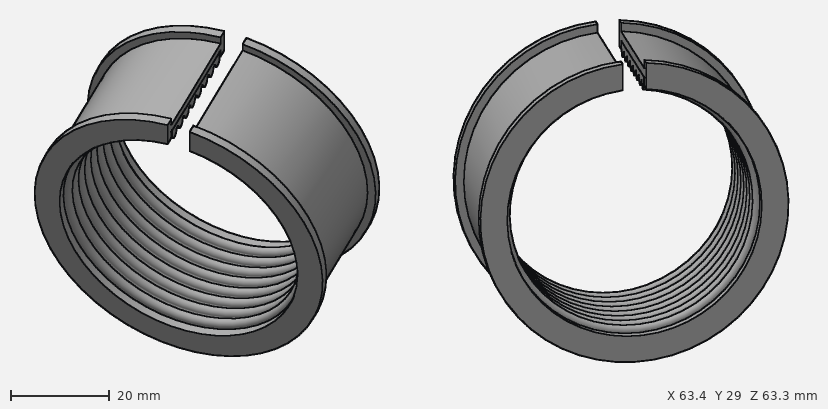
import cadquery as cq

OUTER_RADIUS = 31.7
BARREL_RADIUS = 29.95
FLANGE_BORE_RADIUS = 26.2
SLEEVE_LENGTH = 29.0
FLANGE_THICKNESS = 1.95
SLOT_WIDTH = 4.8

SEAT_RADIUS = 28.0
CREST_RADIUS = 25.0
RIB_COUNT = 8
RIB_ROUND = 1.05
GROOVE_ROUND = RIB_ROUND / 2
RIB_BASE_RADIUS = CREST_RADIUS + RIB_ROUND
RIB_WIDTH = 2 * RIB_ROUND
GROOVE_WIDTH = 2 * GROOVE_ROUND
LINER_LENGTH = RIB_COUNT * RIB_WIDTH + (RIB_COUNT - 1) * GROOVE_WIDTH


def ring(outer_radius, inner_radius, length):
    """Plain ring around Y, centred on the origin."""
    disc = cq.Workplane("XZ").circle(outer_radius).circle(inner_radius)
    return disc.extrude(length / 2, both=True)


def cut_slot(body):
    """Open the ring with a straight slot at its top (+Z)."""
    slot = cq.Workplane("XY").box(
        SLOT_WIDTH, 2 * SLEEVE_LENGTH, 2 * OUTER_RADIUS, centered=(True, True, False)
    )
    return body.cut(slot)


def make_sleeve():
    """Split barrel with a flange at each end and an inner channel for the liner."""
    channel_length = SLEEVE_LENGTH - 2 * FLANGE_THICKNESS
    blank = ring(OUTER_RADIUS, FLANGE_BORE_RADIUS, SLEEVE_LENGTH)
    outer_channel = ring(2 * OUTER_RADIUS, BARREL_RADIUS, channel_length)
    inner_channel = ring(SEAT_RADIUS, CREST_RADIUS, channel_length)
    return cut_slot(blank.cut(outer_channel).cut(inner_channel))


def make_liner():
    """Split ring whose bore is a wave of half-round ribs and grooves."""
    start = -LINER_LENGTH / 2
    profile = cq.Workplane("XY").moveTo(SEAT_RADIUS, start).lineTo(RIB_BASE_RADIUS, start)
    y = start
    for rib in range(RIB_COUNT):
        if rib > 0:
            profile = profile.threePointArc(
                (RIB_BASE_RADIUS + GROOVE_ROUND, y + GROOVE_ROUND),
                (RIB_BASE_RADIUS, y + GROOVE_WIDTH),
            )
            y += GROOVE_WIDTH
        profile = profile.threePointArc(
            (CREST_RADIUS, y + RIB_ROUND), (RIB_BASE_RADIUS, y + RIB_WIDTH)
        )
        y += RIB_WIDTH
    profile = profile.lineTo(SEAT_RADIUS, y).close()
    return cut_slot(profile.revolve(360, (0, 0, 0), (0, 1, 0)))


sleeve = make_sleeve()
liner = make_liner()

result = cq.Compound.makeCompound([sleeve.val(), liner.val()])